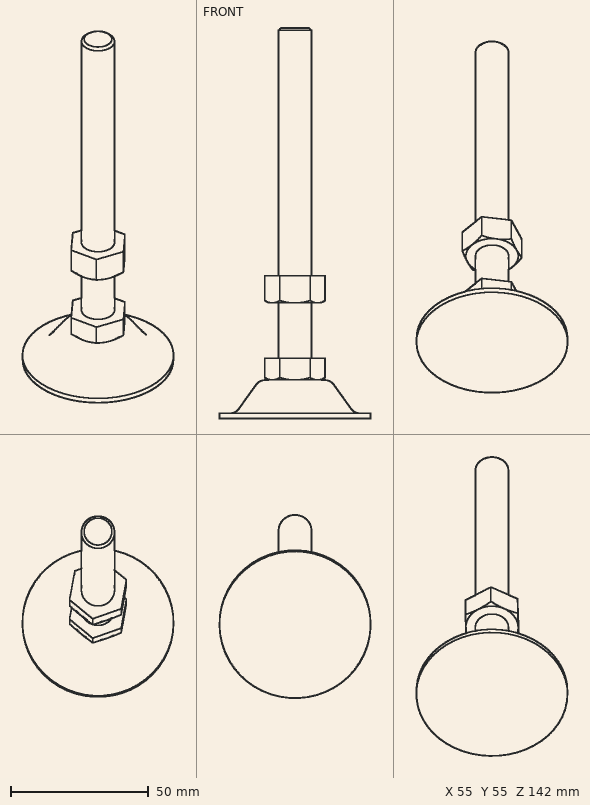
import cadquery as cq
import math

PAD_DIAMETER = 55.0
FLANGE_THICKNESS = 2.0
PAD_HEIGHT = 14.0
CONE_BASE_RADIUS = 21.6
CONE_TOP_RADIUS = 12.9
PAD_FILLET = 4.0

TOTAL_HEIGHT = 142.0
ROD_DIAMETER = 12.0
ROD_CHAMFER = 1.0

NUT_ACROSS_FLATS = 19.0
NUT_ACROSS_CORNERS = NUT_ACROSS_FLATS / math.cos(math.radians(30))
NUT_BEVEL_ANGLE = 30.0
NUT_BEVEL_RADIUS = NUT_ACROSS_FLATS / 2
BASE_NUT_HEIGHT = 8.0
LOCK_NUT_HEIGHT = 10.0
LOCK_NUT_BOTTOM = 42.0


def make_pad():
    """Conical foot on a thin round flange, rounded at both ends of the cone."""
    profile = (
        cq.Workplane("XZ")
        .moveTo(0, 0)
        .lineTo(PAD_DIAMETER / 2, 0)
        .lineTo(PAD_DIAMETER / 2, FLANGE_THICKNESS)
        .lineTo(CONE_BASE_RADIUS, FLANGE_THICKNESS)
        .lineTo(CONE_TOP_RADIUS, PAD_HEIGHT)
        .lineTo(0, PAD_HEIGHT)
        .close()
    )
    pad = profile.revolve(360, (0, 0, 0), (0, 1, 0))
    cone_ends = pad.faces("%CONE").edges("%CIRCLE")
    return cone_ends.fillet(PAD_FILLET)


def make_rod():
    """Plain cylinder with a chamfered upper end."""
    rod = (
        cq.Workplane("XY", origin=(0, 0, PAD_HEIGHT))
        .circle(ROD_DIAMETER / 2)
        .extrude(TOTAL_HEIGHT - PAD_HEIGHT)
    )
    return rod.faces(">Z").edges().chamfer(ROD_CHAMFER)


def make_nut(bottom, height):
    """Hexagonal nut around the rod, its lower corners cut back by a cone."""
    nut = (
        cq.Workplane("XY", origin=(0, 0, bottom))
        .polygon(6, NUT_ACROSS_CORNERS)
        .circle(ROD_DIAMETER / 2)
        .extrude(height)
    )
    corner_radius = NUT_ACROSS_CORNERS / 2
    bevel_height = (corner_radius - NUT_BEVEL_RADIUS) * math.tan(math.radians(NUT_BEVEL_ANGLE))
    bevel_envelope = (
        cq.Workplane("XZ")
        .moveTo(0, bottom)
        .lineTo(NUT_BEVEL_RADIUS, bottom)
        .lineTo(corner_radius, bottom + bevel_height)
        .lineTo(corner_radius, bottom + height)
        .lineTo(0, bottom + height)
        .close()
        .revolve(360, (0, 0, 0), (0, 1, 0))
    )
    return nut.intersect(bevel_envelope)


pad = make_pad()
rod = make_rod()
base_nut = make_nut(PAD_HEIGHT, BASE_NUT_HEIGHT)
lock_nut = make_nut(LOCK_NUT_BOTTOM, LOCK_NUT_HEIGHT)

bodies = [pad, rod, base_nut, lock_nut]
result = cq.Compound.makeCompound([body.solids().val() for body in bodies])